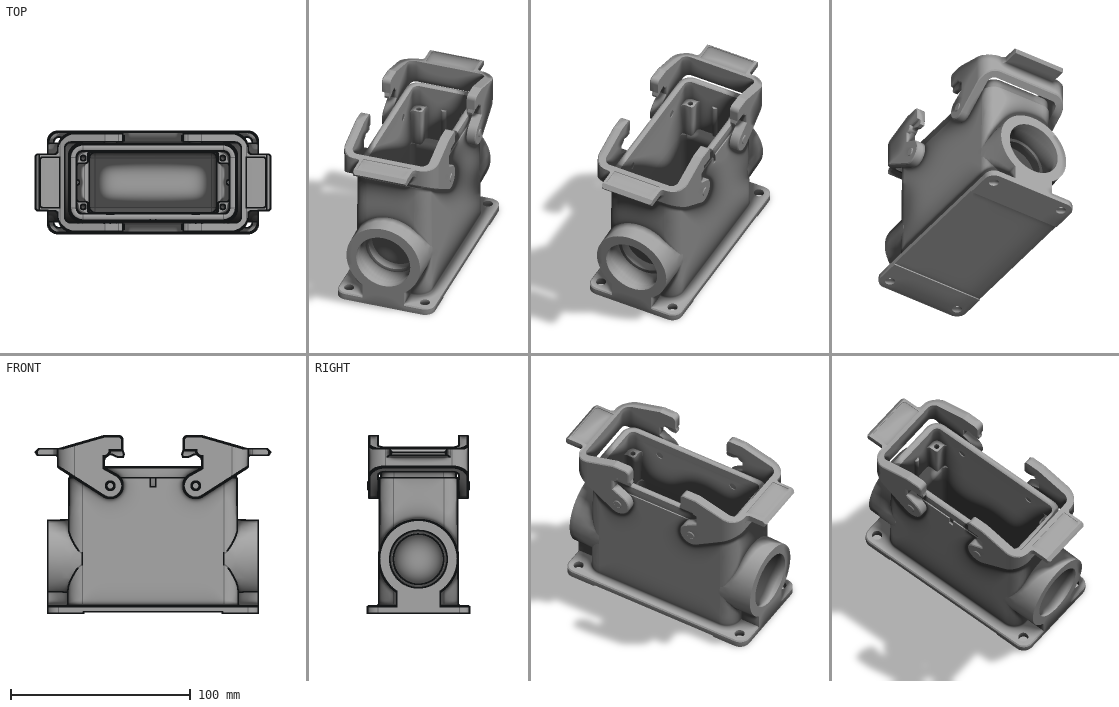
import cadquery as cq
import math

BASE_HALF_X = 58.6
BASE_HALF_Y = 28.47
BASE_TOP = 4.2
BASE_CORNER_RADIUS = 5.9
BASE_EDGE_CHAMFER = 0.7
FOOT_HALF_GAP = 38.6
FOOT_RELIEF = 0.8
MOUNT_HOLE_DIAMETER = 5.6
MOUNT_HOLE_X = 52.4
MOUNT_HOLE_Y = 22.4

BODY_HALF_X = 47.4
BODY_HALF_Y = 22.3
BODY_TOP = 75.3
BODY_TOP_HALF_X = 46.7
BODY_CORNER_RADIUS = 8.1
BODY_FOOT_FILLET = 0.8
NECK_HALF_X = 46.2
NECK_HALF_Y = 21.0
NECK_CORNER_RADIUS = 7.1
RIM_TOP = 81.4
RIM_CROWN = 0.5
RIM_SHOULDER = RIM_TOP - RIM_CROWN
MARK_WIDTH = 3.0
MARK_HEIGHT = 4.8
MARK_INNER_Y = 20.4

CAVITY_HALF_X = 42.4
CAVITY_HALF_Y = 17.5
CAVITY_CORNER_RADIUS = 3.4
LEDGE_TOP = 47.1
LOWER_HALF_X = 35.3
LOWER_HALF_Y = 16.8
FLOOR_Z = 5.2
FLOOR_FILLET = 3.0
LEDGE_FILLET = 3.0

POST_TOP = 68.1
POST_INNER_X = 36.3
POST_INNER_Y = 10.7
POST_CORNER_RADIUS = 1.3
POST_ROOT_RADIUS = 1.6
POST_HOLE_DIAMETER = 3.0
POST_HOLE_DEPTH = 10.5
POST_HOLE_X = 38.81
POST_HOLE_Y = 13.55
WALL_OVERLAP = 0.8
END_RIB_DIAMETER = 3.0

ENTRY_Z = 30.1
ENTRY_DIAMETER = 43.5
ENTRY_ROOT_DIAMETER = 44.5
ENTRY_INNER_X = 39.3
BORE_DIAMETER = 32.0
BORE_DEPTH = 15.2
KNOCKOUT_DIAMETER = 28.0
KNOCKOUT_FLOOR_X = 38.0
PEDESTAL_HALF_Y = 12.2

STUD_X = 23.76
STUD_Z = 71.0
STUD_DIAMETER = 5.1
STUD_CHAMFER = 0.5
STUD_END_Y = 28.1
SHOULDER_DIAMETER = 7.0
STUD_MARK_DIAMETER = 4.0
STUD_MARK_DEPTH = 0.3

ARM_OUTER_Y = 27.8
ARM_INNER_Y = 22.5
LEVER_OUTER_X = 53.0
LEVER_INNER_X = 49.2
LEVER_OUTER_RADIUS = 9.3
LEVER_INNER_RADIUS = 3.9
LEVER_TOP = 98.8
LEVER_BOTTOM_AT_END = 81.3
LEVER_EDGE_CHAMFER = 0.5
EYE_RADIUS = 7.1
NOSE_X = 16.8
NOSE_BACK_X = 26.8
NOSE_BOTTOM = 90.3
NOSE_RADIUS = 2.6
SLOT_END_X = 27.1
SLOT_BOTTOM = 80.9
SLOT_RADIUS = 3.3
LIP_INNER_Y = 23.2
LIP_OUTER_Y = 25.9
LIP_START_Z = 85.1
LIP_BOTTOM = 86.9
LIP_HUMP = [(25.8, 87.5), (24.0, 88.4), (22.3, 88.1), (20.4, 87.2), (18.8, LIP_BOTTOM)]
LIP_TIP = (16.1, 88.5)
LIP_CORNER_X = 16.6

TAB_END_X = 65.5
TAB_HALF_Y = 15.7
TAB_TOP = 91.6
TAB_BOTTOM = 87.8
TAB_NOSE_Z = 89.7
TAB_TOP_SET_BACK = 2.1
TAB_BOTTOM_SET_BACK = 1.3
TAB_CORNER_CHAMFER = 1.0
TAB_ROOT_RADIUS = 2.1
TAB_UNDER_RADIUS = 1.0
TAB_OVERLAP = 1.3
PANEL_OUTER_X = 62.8
PANEL_INNER_X = 51.8
PANEL_HALF_Y = 14.1
PANEL_DEPTH = 0.4
PANEL_CORNER = 1.0

PICK_MARGIN = 0.1


def rounded_outline(half_x, half_y, radius):
    return cq.Sketch().rect(2 * half_x, 2 * half_y).vertices().fillet(radius)


def rounded_block(half_x, half_y, radius, bottom, top, taper=0):
    """Upright block with rounded corners that grows from bottom to top."""
    outline = rounded_outline(half_x, half_y, radius)
    return cq.Workplane("XY").workplane(offset=bottom).placeSketch(outline).extrude(top - bottom, taper=taper)


def box_between(x0, x1, y0, y1, z0, z1):
    return cq.Workplane("XY").box(x1 - x0, y1 - y0, z1 - z0, centered=False).translate((x0, y0, z0))


def rod_x(diameter, x0, x1):
    """Cylinder along X on the cable entry axis."""
    rod = cq.Workplane("YZ").workplane(offset=x0).center(0, ENTRY_Z).circle(diameter / 2)
    return rod.extrude(x1 - x0)


def rod_y(diameter, y0, y1):
    """Cylinder along Y on the pivot axis of the +X lever."""
    rod = cq.Workplane("XZ", origin=(STUD_X, y0, STUD_Z)).circle(diameter / 2)
    return rod.extrude(y0 - y1)


def in_both_ends(shape):
    return [shape, shape.mirror("YZ")]


def in_four_corners(shape):
    return [copy for end in in_both_ends(shape) for copy in (end, end.mirror("XZ"))]


def base_plate():
    plate = rounded_block(BASE_HALF_X, BASE_HALF_Y, BASE_CORNER_RADIUS, 0, BASE_TOP)
    plate = plate.faces(">Z").chamfer(BASE_EDGE_CHAMFER)
    relief = box_between(-FOOT_HALF_GAP, FOOT_HALF_GAP, -BASE_HALF_Y, BASE_HALF_Y, 0, FOOT_RELIEF)
    plate = plate.cut(relief)
    hole = cq.Workplane("XY").center(MOUNT_HOLE_X, MOUNT_HOLE_Y).circle(MOUNT_HOLE_DIAMETER / 2).extrude(BASE_TOP)
    for copy in in_four_corners(hole):
        plate = plate.cut(copy)
    return plate


def outer_walls():
    """Drafted walls with a slightly narrower neck on top."""
    draft = math.degrees(math.atan2(BODY_HALF_X - BODY_TOP_HALF_X, BODY_TOP - BASE_TOP))
    walls = rounded_block(BODY_HALF_X, BODY_HALF_Y, BODY_CORNER_RADIUS, BASE_TOP, BODY_TOP, draft)
    neck = rounded_block(NECK_HALF_X, NECK_HALF_Y, NECK_CORNER_RADIUS, BODY_TOP, RIM_SHOULDER)
    return walls.union(neck)


def fillet_wall_foot(body):
    """Fillet where the walls stand on the base plate."""
    wall_foot = cq.selectors.BoxSelector(
        (-BODY_HALF_X - PICK_MARGIN, -BODY_HALF_Y - PICK_MARGIN, BASE_TOP - PICK_MARGIN),
        (BODY_HALF_X + PICK_MARGIN, BODY_HALF_Y + PICK_MARGIN, BASE_TOP + PICK_MARGIN),
    )
    return body.edges(wall_foot).fillet(BODY_FOOT_FILLET)


def rim_crown():
    """Low rounded bead that runs round the top of the neck."""
    half_width = (NECK_HALF_X - CAVITY_HALF_X) / 2
    half_bead = (NECK_HALF_Y - CAVITY_HALF_Y) / 2
    middle_x = NECK_HALF_X - half_width
    middle_y = NECK_HALF_Y - half_bead
    radius = NECK_CORNER_RADIUS - half_width
    flat_x = middle_x - radius
    flat_y = middle_y - radius
    path = (
        cq.Workplane("XY", origin=(0, 0, RIM_SHOULDER))
        .moveTo(0, -middle_y)
        .lineTo(flat_x, -middle_y)
        .radiusArc((middle_x, -flat_y), -radius)
        .lineTo(middle_x, flat_y)
        .radiusArc((flat_x, middle_y), -radius)
        .lineTo(-flat_x, middle_y)
        .radiusArc((-middle_x, flat_y), -radius)
        .lineTo(-middle_x, -flat_y)
        .radiusArc((-flat_x, -middle_y), -radius)
        .close()
    )
    bead = (
        cq.Workplane("YZ", origin=(0, -middle_y, RIM_SHOULDER))
        .moveTo(-half_bead, 0)
        .threePointArc((0, RIM_CROWN), (half_bead, 0))
        .close()
    )
    return bead.sweep(path)


def cavity():
    """Straight opening, a middle part that narrows in Y, and a shorter lower part with a rounded floor."""
    opening = rounded_block(CAVITY_HALF_X, CAVITY_HALF_Y, CAVITY_CORNER_RADIUS, BODY_TOP, RIM_SHOULDER)
    wide = rounded_outline(CAVITY_HALF_X, CAVITY_HALF_Y, CAVITY_CORNER_RADIUS)
    narrow = rounded_outline(CAVITY_HALF_X, LOWER_HALF_Y, CAVITY_CORNER_RADIUS)
    raised = cq.Location(cq.Vector(0, 0, BODY_TOP - LEDGE_TOP))
    upper = cq.Workplane("XY").workplane(offset=LEDGE_TOP).placeSketch(narrow, wide.moved(raised)).loft()
    lower = box_between(-LOWER_HALF_X, LOWER_HALF_X, -LOWER_HALF_Y, LOWER_HALF_Y, FLOOR_Z, LEDGE_TOP)
    lower = lower.edges("|Z or <Z").fillet(FLOOR_FILLET)
    return opening.union(upper).union(lower)


def ledge_rounding():
    """Waste above the rounded edge of the +X ledge."""
    rounding = (
        cq.Workplane("XZ", origin=(0, LOWER_HALF_Y, 0))
        .moveTo(LOWER_HALF_X, LEDGE_TOP - LEDGE_FILLET)
        .radiusArc((LOWER_HALF_X + LEDGE_FILLET, LEDGE_TOP), LEDGE_FILLET)
        .lineTo(LOWER_HALF_X, LEDGE_TOP)
        .close()
    )
    return rounding.extrude(2 * LOWER_HALF_Y)


def screw_post():
    """Post in the +X +Y cavity corner, flared where it meets the walls."""
    wall_x = CAVITY_HALF_X
    wall_y = (CAVITY_HALF_Y + LOWER_HALF_Y) / 2
    return (
        cq.Workplane("XY", origin=(0, 0, LEDGE_TOP - LEDGE_FILLET))
        .moveTo(wall_x + WALL_OVERLAP, POST_INNER_Y - POST_ROOT_RADIUS)
        .lineTo(wall_x, POST_INNER_Y - POST_ROOT_RADIUS)
        .radiusArc((wall_x - POST_ROOT_RADIUS, POST_INNER_Y), -POST_ROOT_RADIUS)
        .lineTo(POST_INNER_X + POST_CORNER_RADIUS, POST_INNER_Y)
        .radiusArc((POST_INNER_X, POST_INNER_Y + POST_CORNER_RADIUS), POST_CORNER_RADIUS)
        .lineTo(POST_INNER_X, wall_y - POST_ROOT_RADIUS)
        .radiusArc((POST_INNER_X - POST_ROOT_RADIUS, wall_y), -POST_ROOT_RADIUS)
        .lineTo(POST_INNER_X - POST_ROOT_RADIUS, wall_y + WALL_OVERLAP)
        .lineTo(wall_x + WALL_OVERLAP, wall_y + WALL_OVERLAP)
        .close()
        .extrude(POST_TOP - LEDGE_TOP + LEDGE_FILLET)
    )


def post_hole():
    """Screw hole with a conical drill tip."""
    radius = POST_HOLE_DIAMETER / 2
    hole = (
        cq.Workplane("XZ", origin=(POST_HOLE_X, POST_HOLE_Y, POST_TOP))
        .lineTo(radius, 0)
        .lineTo(radius, -POST_HOLE_DEPTH)
        .lineTo(0, -POST_HOLE_DEPTH - radius)
        .close()
    )
    return hole.revolve(360, (0, 0, 0), (0, 1, 0))


def end_rib():
    """Half-round rib in the middle of the +X end wall."""
    rib = cq.Workplane("XY", origin=(CAVITY_HALF_X, 0, LEDGE_TOP)).circle(END_RIB_DIAMETER / 2)
    return rib.extrude(POST_TOP - LEDGE_TOP)


def cable_entry():
    """Slightly conical round entry on the +X end, with the pedestal below it."""
    length = BASE_HALF_X - ENTRY_INNER_X
    draft = math.degrees(math.atan2((ENTRY_ROOT_DIAMETER - ENTRY_DIAMETER) / 2, length))
    root = cq.Workplane("YZ", origin=(ENTRY_INNER_X, 0, ENTRY_Z)).circle(ENTRY_ROOT_DIAMETER / 2)
    entry = root.extrude(length, taper=draft)
    pedestal = box_between(ENTRY_INNER_X, BASE_HALF_X, -PEDESTAL_HALF_Y, PEDESTAL_HALF_Y, FOOT_RELIEF, ENTRY_Z)
    return entry.union(pedestal)


def entry_bore():
    """Stepped blind bore that ends at the knock-out wall."""
    bore = rod_x(BORE_DIAMETER, BASE_HALF_X - BORE_DEPTH, BASE_HALF_X)
    return bore.union(rod_x(KNOCKOUT_DIAMETER, KNOCKOUT_FLOOR_X, BASE_HALF_X))


def lever_stud():
    """Pivot stud with a shoulder that spaces the lever arm from the wall."""
    wall_middle_y = (CAVITY_HALF_Y + NECK_HALF_Y) / 2
    stud = rod_y(STUD_DIAMETER, wall_middle_y, STUD_END_Y).faces(">Y").chamfer(STUD_CHAMFER)
    return stud.union(rod_y(SHOULDER_DIAMETER, wall_middle_y, ARM_INNER_Y))


def wall_mark():
    """Small notch in the -Y wall, just below the neck."""
    half_width = MARK_WIDTH / 2
    return box_between(-half_width, half_width, -BODY_HALF_Y, -MARK_INNER_Y, BODY_TOP - MARK_HEIGHT, BODY_TOP)


def make_housing():
    body = fillet_wall_foot(base_plate().union(outer_walls()))
    for entry in in_both_ends(cable_entry()):
        body = body.union(entry)
    body = body.union(rim_crown()).cut(cavity())
    for rounding in in_both_ends(ledge_rounding()):
        body = body.cut(rounding)
    for bore in in_both_ends(entry_bore()):
        body = body.cut(bore)
    for post in in_four_corners(screw_post()):
        body = body.union(post)
    for hole in in_four_corners(post_hole()):
        body = body.cut(hole)
    for rib in in_both_ends(end_rib()):
        body = body.union(rib)
    for stud in in_four_corners(lever_stud()):
        body = body.union(stud)
    dimple = rod_y(STUD_MARK_DIAMETER, LOWER_HALF_Y, CAVITY_HALF_Y + STUD_MARK_DEPTH)
    for copy in in_four_corners(dimple):
        body = body.cut(copy)
    return body.cut(wall_mark())


def tangent_point(from_x, from_z, side):
    """Point where a line from (from_x, from_z) touches the round eye about the stud."""
    dx = from_x - STUD_X
    dz = from_z - STUD_Z
    angle = math.atan2(dz, dx) + side * math.acos(EYE_RADIUS / math.hypot(dx, dz))
    return STUD_X + EYE_RADIUS * math.cos(angle), STUD_Z + EYE_RADIUS * math.sin(angle)


def lever_profile():
    """Side outline of the +X lever, as a prism through its full width."""
    upper_touch = tangent_point(SLOT_END_X, SLOT_BOTTOM, 1)
    lower_touch = tangent_point(LEVER_OUTER_X, LEVER_BOTTOM_AT_END, -1)
    return (
        cq.Workplane("XZ", origin=(0, ARM_OUTER_Y, 0))
        .moveTo(LEVER_OUTER_X, LEVER_BOTTOM_AT_END)
        .lineTo(LEVER_OUTER_X, TAB_TOP)
        .lineTo(PANEL_INNER_X, TAB_TOP)
        .lineTo(NOSE_BACK_X, LEVER_TOP)
        .lineTo(NOSE_X + NOSE_RADIUS, LEVER_TOP)
        .radiusArc((NOSE_X, LEVER_TOP - NOSE_RADIUS), -NOSE_RADIUS)
        .lineTo(NOSE_X, NOSE_BOTTOM)
        .lineTo(SLOT_END_X - SLOT_RADIUS, NOSE_BOTTOM)
        .radiusArc((SLOT_END_X, NOSE_BOTTOM - SLOT_RADIUS), -SLOT_RADIUS)
        .lineTo(SLOT_END_X, SLOT_BOTTOM)
        .lineTo(*upper_touch)
        .threePointArc((STUD_X - EYE_RADIUS, STUD_Z), lower_touch)
        .close()
        .extrude(2 * ARM_OUTER_Y)
    )


def lever_plan():
    """U-shaped outline seen from above, open toward the middle of the housing."""
    low = STUD_Z - EYE_RADIUS
    outer = box_between(0, LEVER_OUTER_X, -ARM_OUTER_Y, ARM_OUTER_Y, low, LEVER_TOP)
    inner = box_between(0, LEVER_INNER_X, -ARM_INNER_Y, ARM_INNER_Y, low, LEVER_TOP)
    outer = outer.edges("|Z and >X").fillet(LEVER_OUTER_RADIUS)
    inner = inner.edges("|Z and >X").fillet(LEVER_INNER_RADIUS)
    return outer.cut(inner)


def hook_lip():
    """Thin lip below the nose of the +Y arm, with a hump in its lower edge."""
    return (
        cq.Workplane("XZ", origin=(0, LIP_OUTER_Y, 0))
        .moveTo(SLOT_END_X, LIP_START_Z)
        .spline(LIP_HUMP, includeCurrent=True)
        .lineTo(LIP_CORNER_X, LIP_BOTTOM)
        .lineTo(*LIP_TIP)
        .lineTo(NOSE_X, NOSE_BOTTOM)
        .lineTo(SLOT_END_X, NOSE_BOTTOM)
        .close()
        .extrude(LIP_OUTER_Y - LIP_INNER_Y)
    )


def handle_tab():
    """Finger tab with a pointed outer edge and cut corners."""
    root_x = LEVER_OUTER_X - TAB_OVERLAP
    section = [
        (root_x, TAB_BOTTOM),
        (TAB_END_X - TAB_BOTTOM_SET_BACK, TAB_BOTTOM),
        (TAB_END_X, TAB_NOSE_Z),
        (TAB_END_X - TAB_TOP_SET_BACK, TAB_TOP),
        (root_x, TAB_TOP),
    ]
    tab = cq.Workplane("XZ", origin=(0, TAB_HALF_Y, 0)).polyline(section).close().extrude(2 * TAB_HALF_Y)
    plan = box_between(root_x, TAB_END_X, -TAB_HALF_Y, TAB_HALF_Y, TAB_BOTTOM, TAB_TOP)
    return tab.intersect(plan.edges("|Z and >X").chamfer(TAB_CORNER_CHAMFER))


def blend_tab_root(lever):
    """Fillets where the tab leaves the end of the lever: both sides, then the underside."""
    near_x = LEVER_OUTER_X - PICK_MARGIN
    far_x = LEVER_OUTER_X + PICK_MARGIN
    reach = TAB_HALF_Y + PICK_MARGIN
    sides = cq.selectors.BoxSelector(
        (near_x, -reach, TAB_BOTTOM + PICK_MARGIN), (far_x, reach, TAB_TOP - PICK_MARGIN)
    )
    lever = lever.edges(sides).fillet(TAB_ROOT_RADIUS)
    underside = cq.selectors.BoxSelector(
        (near_x, -1.3, TAB_BOTTOM - PICK_MARGIN), (far_x, 1.3, TAB_BOTTOM + PICK_MARGIN)
    )
    return lever.edges(underside).fillet(TAB_UNDER_RADIUS)


def make_lever():
    lever = lever_profile().intersect(lever_plan())
    lever = lever.faces(">Y or <Y").chamfer(LEVER_EDGE_CHAMFER)
    lever = blend_tab_root(lever.union(handle_tab()))
    lip = hook_lip()
    lever = lever.union(lip).union(lip.mirror("XZ"))
    panel = box_between(PANEL_INNER_X, PANEL_OUTER_X, -PANEL_HALF_Y, PANEL_HALF_Y, TAB_TOP - PANEL_DEPTH, TAB_TOP)
    lever = lever.cut(panel.edges("|Z and >X").chamfer(PANEL_CORNER))
    return lever.cut(rod_y(STUD_DIAMETER, -ARM_OUTER_Y, ARM_OUTER_Y))


housing = make_housing()
levers = in_both_ends(make_lever())

result = cq.Compound.makeCompound([housing.val(), *[lever.val() for lever in levers]])